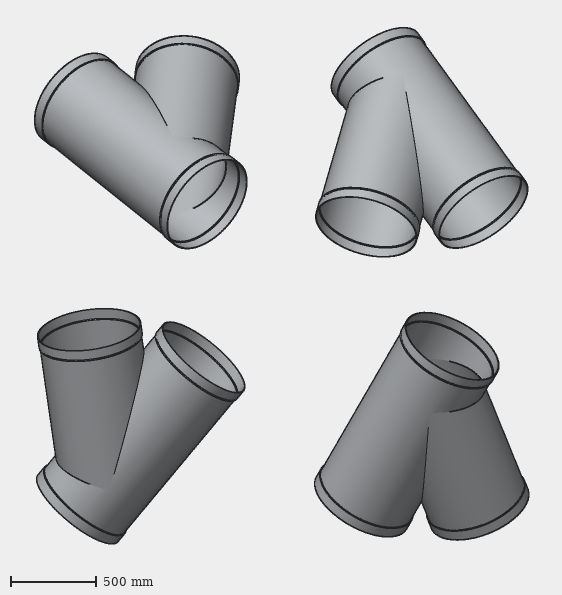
import cadquery as cq

run_length = 1210.0
pipe_diameter = 600.0
wall = 6.0
collar_length = 68.0
socket_depth = 60.0
branch_length = 904.0
branch_angle = 45.0
crossing_x = 302.0

bore_diameter = pipe_diameter - 2 * wall
collar_diameter = pipe_diameter + 2 * wall
run_start = -run_length / 2


def cylinder_x(diameter, start, length):
    """Solid cylinder along X, beginning at x = start."""
    return cq.Workplane("YZ", origin=(start, 0, 0)).circle(diameter / 2).extrude(length)


def mouth_socket(end):
    """Round void along +X, open at x = end, tapering at 45 degrees to the bore."""
    taper_end = end - socket_depth - wall
    profile = [
        (end, 0),
        (end, pipe_diameter / 2),
        (end - socket_depth, pipe_diameter / 2),
        (taper_end, bore_diameter / 2),
        (taper_end, 0),
    ]
    return cq.Workplane("XY").polyline(profile).close().revolve(360, (0, 0, 0), (1, 0, 0))


def place_branch(body):
    """Swing a body lying along +X onto the branch axis."""
    turned = body.rotate((0, 0, 0), (0, 0, 1), 180 - branch_angle)
    return turned.translate((crossing_x, 0, 0))


def branch_cylinder(diameter, start, length):
    """Cylinder on the branch axis, without the part beyond the run axis."""
    body = place_branch(cylinder_x(diameter, start, length))
    half_space = cq.Workplane("XY").box(
        4 * run_length, 2 * run_length, 2 * run_length, centered=(True, False, True)
    )
    return body.intersect(half_space)


body = cylinder_x(pipe_diameter, run_start, run_length)
body = body.union(branch_cylinder(pipe_diameter, 0, branch_length))

for start in (run_start, run_length / 2 - collar_length):
    body = body.union(cylinder_x(collar_diameter, start, collar_length))
collar_start = branch_length - collar_length
body = body.union(branch_cylinder(collar_diameter, collar_start, collar_length))

body = body.cut(cylinder_x(bore_diameter, run_start, run_length))
body = body.cut(branch_cylinder(bore_diameter, 0, branch_length))
run_socket = mouth_socket(run_length / 2)
body = body.cut(run_socket)
body = body.cut(run_socket.mirror("YZ"))
body = body.cut(place_branch(mouth_socket(branch_length)))

result = body